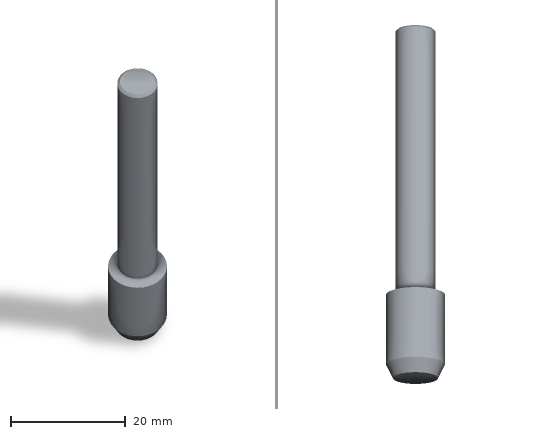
import cadquery as cq

total_length = 63.0
pin_diameter = 7.0
pin_radius = pin_diameter / 2

pin_top_chamfer = 0.45

sleeve_diameter = 10.3
sleeve_radius = sleeve_diameter / 2
sleeve_height = 15.6
shoulder_height = 0.55
nose_height = 2.45
nose_end_diameter = 7.9
nose_end_radius = nose_end_diameter / 2


def make_pin():
    """Straight pin that runs through the sleeve, chamfered at its top end."""
    pin = cq.Workplane("XY").circle(pin_radius).extrude(total_length)
    return pin.faces(">Z").chamfer(pin_top_chamfer)


def make_sleeve():
    """Sleeve around the pin, with a tapered nose below and a conical shoulder above."""
    return (
        cq.Workplane("XZ")
        .moveTo(pin_radius, 0)
        .lineTo(nose_end_radius, 0)
        .lineTo(sleeve_radius, nose_height)
        .lineTo(sleeve_radius, sleeve_height - shoulder_height)
        .lineTo(pin_radius, sleeve_height)
        .close()
        .revolve(360, (0, 0, 0), (0, 1, 0))
    )


pin = make_pin()
sleeve = make_sleeve()

result = cq.Compound.makeCompound([pin.val(), sleeve.val()])